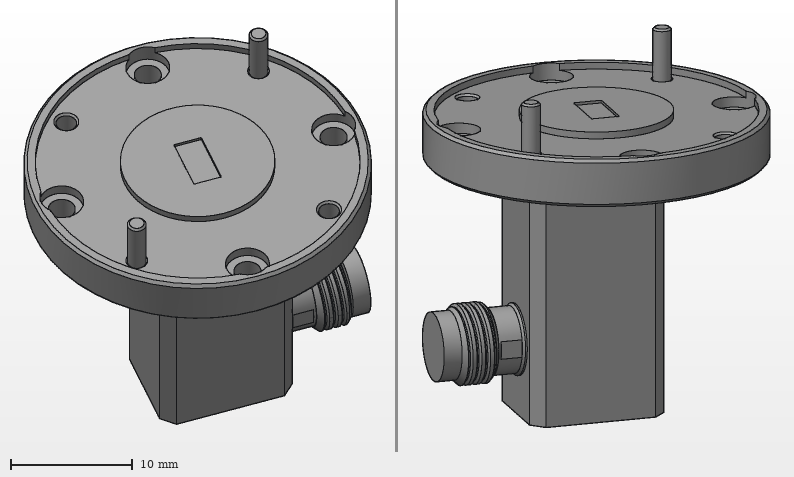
import cadquery as cq
import math


overall_height = 29.27

flange_diameter = 28.57
flange_thickness = 4.07
flange_chamfer = 0.25
rim_inner_diameter = 26.7
recess_depth = 0.6
boss_diameter = 12.7

pitch_circle_diameter = 23.8
pitch_radius = pitch_circle_diameter / 2
screw_hole_diameter = 2.22
counterbore_diameter = 3.6
counterbore_depth = 1.45
dowel_hole_diameter = 1.7
dowel_hole_chamfer = 0.18

port_width = 4.77
port_height = 2.4
port_depth = 0.23
port_corner_radius = 0.1

pin_diameter = 1.55
pin_projection = 3.85
pin_chamfer = 0.18
pin_hole_chamfer = 0.12

block_width = 9.4
block_front = -4.65
block_back = 6.97
block_height = overall_height - pin_projection - flange_thickness
block_chamfer = 1.08

connector_axis_height = 6.35
connector_end = 14.1
thread_outer_end = 12.55
thread_inner_end = 9.37
collar_end = 7.32
sleeve_diameter = 5.8
neck_diameter = 5.62
collar_diameter = 6.03
flat_spacing = 5.41
flat_start = collar_end
flat_end = 9.13

thread_diameter = 6.8
three_turn_length = 2.25
thread_pitch = three_turn_length / 3
thread_depth = 0.25
thread_root_width = 0.12
thread_half_angle = 30
groove_overcut = 0.1
groove_at_top = 11.42

flange_bottom = -flange_thickness
block_bottom = flange_bottom - block_height
connector_z = block_bottom + connector_axis_height

screw_angles = [0, 90, 180, 270]
dowel_hole_angles = [45, 225]
pin_angles = [135, 315]


def on_pitch_circle(angles):
    """Points on the pitch circle at the given angles in degrees."""
    return [
        (pitch_radius * math.cos(math.radians(a)), pitch_radius * math.sin(math.radians(a)))
        for a in angles
    ]


def countersunk_hole(point, diameter, chamfer):
    """Cutter for a through hole whose mouth on the recessed face is chamfered."""
    radius = diameter / 2
    return (
        cq.Workplane("XZ")
        .moveTo(0, flange_bottom)
        .lineTo(radius, flange_bottom)
        .lineTo(radius, -recess_depth - chamfer)
        .lineTo(radius + chamfer, -recess_depth)
        .lineTo(0, -recess_depth)
        .close()
        .revolve(360, (0, 0, 0), (0, 1, 0))
        .translate((point[0], point[1], 0))
    )


def make_flange():
    """Disc with a raised boss and rim, screw holes, dowel holes and pin holes."""
    flange = (
        cq.Workplane("XY", origin=(0, 0, flange_bottom))
        .circle(flange_diameter / 2)
        .extrude(flange_thickness)
        .edges()
        .chamfer(flange_chamfer)
    )
    recess = (
        cq.Workplane("XY")
        .circle(rim_inner_diameter / 2)
        .circle(boss_diameter / 2)
        .extrude(-recess_depth)
    )
    flange = flange.cut(recess)

    screw_points = on_pitch_circle(screw_angles)
    screw_holes = cq.Workplane("XY").pushPoints(screw_points).circle(screw_hole_diameter / 2)
    counterbores = cq.Workplane("XY").pushPoints(screw_points).circle(counterbore_diameter / 2)
    flange = flange.cut(screw_holes.extrude(-flange_thickness))
    flange = flange.cut(counterbores.extrude(-counterbore_depth))

    for point in on_pitch_circle(dowel_hole_angles):
        flange = flange.cut(countersunk_hole(point, dowel_hole_diameter, dowel_hole_chamfer))
    for point in on_pitch_circle(pin_angles):
        flange = flange.cut(countersunk_hole(point, pin_diameter, pin_hole_chamfer))
    return flange


def make_block():
    """Upright block with chamfered corners, reaching down from the flange."""
    block_length = block_back - block_front
    return (
        cq.Workplane("XY", origin=(0, (block_front + block_back) / 2, block_bottom))
        .rect(block_width, block_length)
        .extrude(block_height)
        .edges("|Z")
        .chamfer(block_chamfer)
    )


def make_housing():
    """Flange and block in one piece, with the shallow waveguide port in the boss."""
    port = (
        cq.Workplane("XY")
        .rect(port_width, port_height)
        .extrude(-port_depth)
        .edges("|Z")
        .fillet(port_corner_radius)
    )
    return make_flange().union(make_block()).cut(port)


def make_pin(point):
    """Dowel pin, flush with the underside of the flange."""
    return (
        cq.Workplane("XY", origin=(point[0], point[1], flange_bottom))
        .circle(pin_diameter / 2)
        .extrude(flange_thickness + pin_projection)
        .faces(">Z")
        .chamfer(pin_chamfer)
    )


def turned_connector():
    """Connector before threading, revolved about the Y axis; collar and thread ends slope at 45 degrees."""
    sleeve_radius = sleeve_diameter / 2
    neck_radius = neck_diameter / 2
    collar_radius = collar_diameter / 2
    thread_radius = thread_diameter / 2
    outline = [
        (0, block_back),
        (collar_radius, block_back),
        (collar_radius, collar_end - collar_radius + neck_radius),
        (neck_radius, collar_end),
        (neck_radius, thread_inner_end),
        (sleeve_radius, thread_inner_end),
        (thread_radius, thread_inner_end + thread_radius - sleeve_radius),
        (thread_radius, thread_outer_end - thread_radius + sleeve_radius),
        (sleeve_radius, thread_outer_end),
        (sleeve_radius, connector_end),
        (0, connector_end),
    ]
    return cq.Workplane("XY").polyline(outline).close().revolve(360, (0, 0, 0), (0, 1, 0))


def groove_turn():
    """One right-hand turn of the thread groove about the Y axis, starting at the top at Y = 0."""
    root_radius = thread_diameter / 2 - thread_depth
    mouth_radius = thread_diameter / 2 + groove_overcut
    root_half_width = thread_root_width / 2
    flank_slope = math.tan(math.radians(thread_half_angle))
    mouth_half_width = root_half_width + (mouth_radius - root_radius) * flank_slope
    helix = cq.Wire.makeHelix(thread_pitch, thread_pitch, root_radius)
    turn = (
        cq.Workplane("XZ")
        .polyline([
            (root_radius, -root_half_width),
            (mouth_radius, -mouth_half_width),
            (mouth_radius, mouth_half_width),
            (root_radius, root_half_width),
        ])
        .close()
        .sweep(cq.Workplane(obj=helix), isFrenet=True)
    )
    return turn.rotate((0, 0, 0), (0, 0, 1), -90).rotate((0, 0, 0), (1, 0, 0), -90)


def make_connector():
    """Connector with a screw thread and two wrench flats, seated on the back of the block."""
    connector = turned_connector()

    lead_turns = math.ceil((groove_at_top - thread_inner_end) / thread_pitch)
    groove_start = groove_at_top - lead_turns * thread_pitch
    turn_count = math.ceil((thread_outer_end - groove_start) / thread_pitch)
    turn = groove_turn()
    for i in range(turn_count):
        connector = connector.cut(turn.translate((0, groove_start + i * thread_pitch, 0)))

    flat_cut = (neck_diameter - flat_spacing) / 2
    for side in (-1, 1):
        cutter = cq.Workplane("XY").box(flat_cut, flat_end - flat_start, neck_diameter)
        flat_x = side * (flat_spacing + flat_cut) / 2
        connector = connector.cut(cutter.translate((flat_x, (flat_start + flat_end) / 2, 0)))
    return connector.translate((0, 0, connector_z))


housing = make_housing()
connector = make_connector()
pins = [make_pin(point) for point in on_pitch_circle(pin_angles)]

result = cq.Compound.makeCompound([
    housing.val(),
    connector.val(),
    *[pin.val() for pin in pins],
])